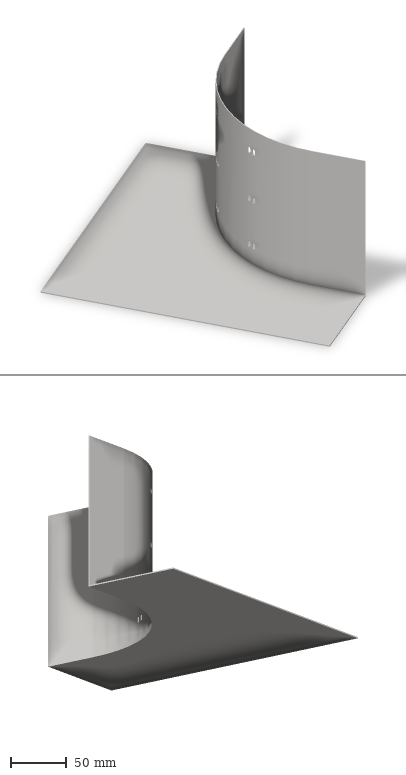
import cadquery as cq
import math

side = 276.5
height = 141.2
base_thickness = 1.2
wall_thickness = 0.8

straight_length = 50.9
bend_radius = 131.8
bend_center = side - straight_length
wall_offset = bend_center - bend_radius
inner_radius = bend_radius - wall_thickness
wall_height = height - base_thickness

slot_width = 3.3
slot_height = 6.0
slot_levels = (20.7, 68.5, 118.8)
pair_angle = 15.9
slot_pitch = 6.4
cut_depth = 5.5
middle_angle = 225.0
half_pitch_angle = math.degrees(slot_pitch / 2 / bend_radius)


def bend_middle(radius):
    """Point halfway round the bend at the given radius."""
    reach = radius * math.cos(math.radians(45))
    return (bend_center - reach, bend_center - reach)


def make_base():
    """L-shaped plate whose inside edge is flush with the concave face of the wall."""
    edge = wall_offset + wall_thickness
    return (
        cq.Workplane("XY")
        .lineTo(side, 0)
        .lineTo(side, edge)
        .lineTo(bend_center, edge)
        .threePointArc(bend_middle(inner_radius), (edge, bend_center))
        .lineTo(edge, side)
        .lineTo(0, side)
        .close()
        .extrude(base_thickness)
    )


def make_slot_cutter(angle, level):
    """Upright round-ended slot pointing along a radius of the bend."""
    direction = cq.Vector(math.cos(math.radians(angle)), math.sin(math.radians(angle)), 0)
    start = cq.Vector(bend_center, bend_center, level) + direction * (bend_radius - cut_depth / 2)
    plane = cq.Plane(origin=start, xDir=cq.Vector(0, 0, 1), normal=direction)
    return cq.Workplane(plane).slot2D(slot_height, slot_width).extrude(cut_depth)


def make_wall():
    """Bent sheet standing on the base, pierced by the slot pairs."""
    inside = wall_offset + wall_thickness
    wall = (
        cq.Workplane("XY", origin=(0, 0, base_thickness))
        .moveTo(side, wall_offset)
        .lineTo(bend_center, wall_offset)
        .threePointArc(bend_middle(bend_radius), (wall_offset, bend_center))
        .lineTo(wall_offset, side)
        .lineTo(inside, side)
        .lineTo(inside, bend_center)
        .threePointArc(bend_middle(inner_radius), (bend_center, inside))
        .lineTo(side, inside)
        .close()
        .extrude(wall_height)
    )
    for level in slot_levels:
        for pair_side in (-1, 1):
            for slot_side in (-1, 1):
                angle = middle_angle + pair_side * pair_angle + slot_side * half_pitch_angle
                wall = wall.cut(make_slot_cutter(angle, level))
    return wall


base = make_base()
wall = make_wall()
result = cq.Compound.makeCompound([base.val(), wall.val()])